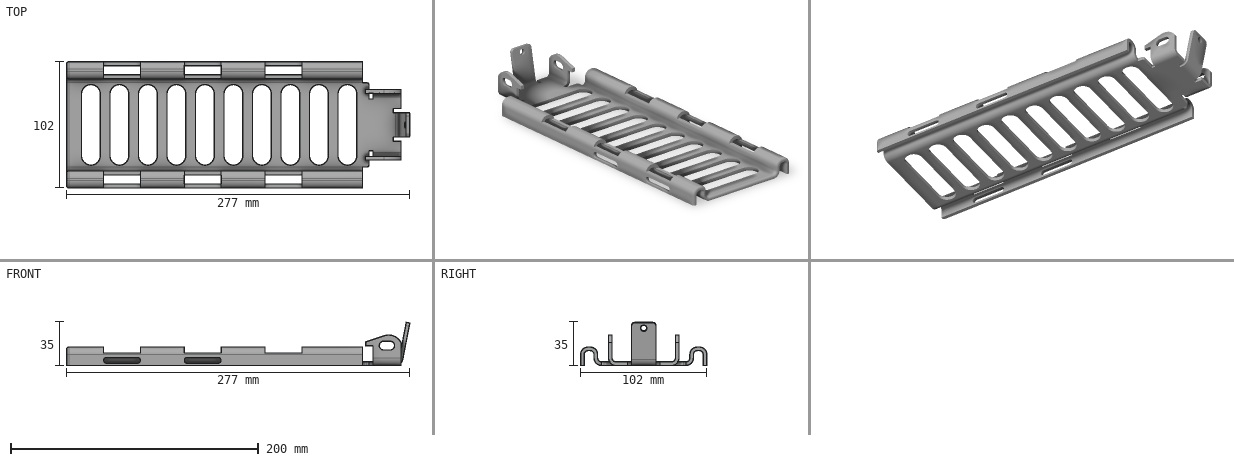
import cadquery as cq
import math

length = 277.0
width = 102.0
height = 35.0
sheet = 3.0
inner_bend = 3.0
outer_bend = inner_bend + sheet
half_width = width / 2

tray_length = 238.8
rail_height = 15.0
crown_radius = outer_bend
crown_flat = 1.7
rail_width = 2 * crown_radius + crown_flat
floor_half_width = half_width - rail_width - inner_bend
end_round = 2.0

floor_slot_count = 10
floor_slot_width = 15.0
floor_slot_length = 64.8
floor_slot_start = 19.7
floor_slot_pitch = 23.0

rail_opening_start = 30.0
rail_opening_pitch = 65.0
rail_opening_length = 29.6
rail_opening_floor = 10.3
crown_opening_count = 3
wall_slot_count = 2
wall_slot_height = 5.0
wall_slot_z = 4.2

shoulder_end = 244.0
shoulder_round = 2.0
neck_half_width = 21.0
tongue_end = 270.0

ear_outer_y = 28.5
ear_start = 247.2
hook_tip = 241.3
hook_bottom = 15.8
hook_top = 19.0
ear_crest_x = 256.3
ear_crest_z = 24.0
ear_back_z = 18.5
ear_slot_x = 258.5
ear_slot_z = 16.0
ear_slot_length = 12.2
ear_slot_height = 7.0

tab_half_width = 10.0
tab_lean = 11.0
tab_corner_round = 2.8
tab_hole_diameter = 5.0
tab_hole_z = 30.5
relief_width = 3.0
relief_start = 263.8


def box(x0, x1, y0, y1, z0, z1):
    return cq.Workplane("XY").box(x1 - x0, y1 - y0, z1 - z0, centered=False).translate((x0, y0, z0))


def both_sides(body):
    return body.union(body.mirror("XZ"))


def make_rail():
    """Arched rail on the +Y side, joined to the floor by a bend."""
    crown_base = rail_height - crown_radius
    web_inner = half_width - rail_width
    web_outer = web_inner + sheet
    wall_inner = half_width - sheet
    arch_radius = crown_radius - sheet
    profile = (
        cq.Workplane("YZ")
        .moveTo(floor_half_width, 0)
        .radiusArc((web_outer, outer_bend), -outer_bend)
        .lineTo(web_outer, crown_base)
        .radiusArc((web_outer + arch_radius, rail_height - sheet), arch_radius)
        .lineTo(wall_inner - arch_radius, rail_height - sheet)
        .radiusArc((wall_inner, crown_base), arch_radius)
        .lineTo(wall_inner, 0)
        .lineTo(half_width, 0)
        .lineTo(half_width, crown_base)
        .radiusArc((half_width - crown_radius, rail_height), -crown_radius)
        .lineTo(web_inner + crown_radius, rail_height)
        .radiusArc((web_inner, crown_base), -crown_radius)
        .lineTo(web_inner, outer_bend)
        .radiusArc((floor_half_width, sheet), inner_bend)
        .close()
    )
    return profile.extrude(tray_length)


def make_tray():
    """Floor and both rails, with the -X end rounded over.

    The rounding follows the tangent upper edge of the sheet across the floor and over both rails.
    """
    floor = box(0, tray_length, -floor_half_width, floor_half_width, 0, sheet)
    tray = floor.union(both_sides(make_rail()))
    end_edge = cq.selectors.NearestToPointSelector((0, 0, sheet))
    return tray.edges(end_edge).fillet(end_round)


def cut_floor_slots(body):
    middle = floor_slot_start + floor_slot_pitch * (floor_slot_count - 1) / 2
    slots = (
        cq.Workplane("XY")
        .center(middle, 0)
        .rarray(floor_slot_pitch, 2.8, floor_slot_count, 1)
        .slot2D(floor_slot_length, floor_slot_width, 90)
        .extrude(sheet)
    )
    return body.cut(slots)


def cut_rail_openings(body):
    """Open the rail crowns and slot the outer rail walls."""
    for index in range(crown_opening_count):
        start = rail_opening_start + index * rail_opening_pitch
        end = start + rail_opening_length
        opening = box(start, end, half_width - rail_width, half_width, rail_opening_floor, rail_height)
        body = body.cut(both_sides(opening))
    for index in range(wall_slot_count):
        middle = rail_opening_start + index * rail_opening_pitch + rail_opening_length / 2
        slot = (
            cq.Workplane("XZ", origin=(middle, half_width, wall_slot_z))
            .slot2D(rail_opening_length, wall_slot_height)
            .extrude(sheet)
        )
        body = body.cut(both_sides(slot))
    return body


def make_extension(bend_start):
    """Flat shoulder, neck and tongue that carry the ears and the end tab."""
    shoulder = box(tray_length, shoulder_end, -floor_half_width, floor_half_width, 0, sheet)
    shoulder = shoulder.edges("|Z and >X").fillet(shoulder_round)
    neck = box(shoulder_end, ear_start, -neck_half_width, neck_half_width, 0, sheet)
    tongue_half_width = ear_outer_y - outer_bend
    tongue = box(ear_start, tongue_end, -tongue_half_width, tongue_half_width, 0, sheet)
    notch_half_width = tab_half_width + relief_width
    notch = box(relief_start, tongue_end, -notch_half_width, notch_half_width, 0, sheet)
    tab_root = box(relief_start, bend_start, -tab_half_width, tab_half_width, 0, sheet)
    return shoulder.union(neck).union(tongue.cut(notch)).union(tab_root)


def make_ear():
    """Hooked ear on the +Y side with its bend up from the tongue."""
    plate = (
        cq.Workplane("XZ", origin=(0, ear_outer_y, 0))
        .moveTo(ear_start, outer_bend)
        .lineTo(ear_start, hook_bottom)
        .lineTo(hook_tip, hook_bottom)
        .lineTo(hook_tip, hook_top)
        .lineTo(ear_crest_x, ear_crest_z)
        .tangentArcPoint((tongue_end, ear_back_z), relative=False)
        .lineTo(tongue_end, outer_bend)
        .close()
        .extrude(sheet)
    )
    slot = (
        cq.Workplane("XZ", origin=(ear_slot_x, ear_outer_y, ear_slot_z))
        .slot2D(ear_slot_length, ear_slot_height)
        .extrude(sheet)
    )
    bend = (
        cq.Workplane("YZ", origin=(ear_start, 0, 0))
        .moveTo(ear_outer_y - outer_bend, 0)
        .radiusArc((ear_outer_y, outer_bend), -outer_bend)
        .lineTo(ear_outer_y - sheet, outer_bend)
        .radiusArc((ear_outer_y - outer_bend, sheet), inner_bend)
        .close()
        .extrude(tongue_end - ear_start)
    )
    return plate.cut(slot).union(bend)


def make_tab(bend_start, straight):
    """End tab, bent up to its lean, with rounded top corners and a hole."""
    lean_sin = math.sin(math.radians(tab_lean))
    lean_cos = math.cos(math.radians(tab_lean))

    def bend_point(radius):
        return (bend_start + radius * lean_cos, outer_bend - radius * lean_sin)

    def top_point(radius):
        x, z = bend_point(radius)
        return (x + straight * lean_sin, z + straight * lean_cos)

    tab = (
        cq.Workplane("XZ", origin=(0, tab_half_width, 0))
        .moveTo(bend_start, 0)
        .radiusArc(bend_point(outer_bend), -outer_bend)
        .lineTo(*top_point(outer_bend))
        .lineTo(*top_point(inner_bend))
        .lineTo(*bend_point(inner_bend))
        .radiusArc((bend_start, sheet), inner_bend)
        .close()
        .extrude(2 * tab_half_width)
    )
    top_edges = cq.selectors.BoxSelector(
        (bend_start, -width, height - sheet), (length + sheet, width, height + sheet)
    )
    across = (lean_cos, 0, -lean_sin)
    corner_edges = cq.selectors.ParallelDirSelector(cq.Vector(*across))
    tab = tab.edges(top_edges).edges(corner_edges).fillet(tab_corner_round)
    inner_x, inner_z = bend_point(inner_bend)
    hole_x = inner_x + (tab_hole_z - inner_z) * lean_sin / lean_cos
    hole_plane = cq.Plane(origin=(hole_x, 0, tab_hole_z), xDir=(0, 1, 0), normal=across)
    hole = cq.Workplane(hole_plane).circle(tab_hole_diameter / 2).extrude(2 * sheet, both=True)
    return tab.cut(hole)


lean_angle = math.radians(tab_lean)
tab_straight = (height - outer_bend + inner_bend * math.sin(lean_angle)) / math.cos(lean_angle)
tab_bend_start = length - outer_bend * math.cos(lean_angle) - tab_straight * math.sin(lean_angle)

tray = cut_rail_openings(cut_floor_slots(make_tray()))
extension = make_extension(tab_bend_start)
ears = both_sides(make_ear())
tab = make_tab(tab_bend_start, tab_straight)
result = tray.union(extension).union(ears).union(tab)